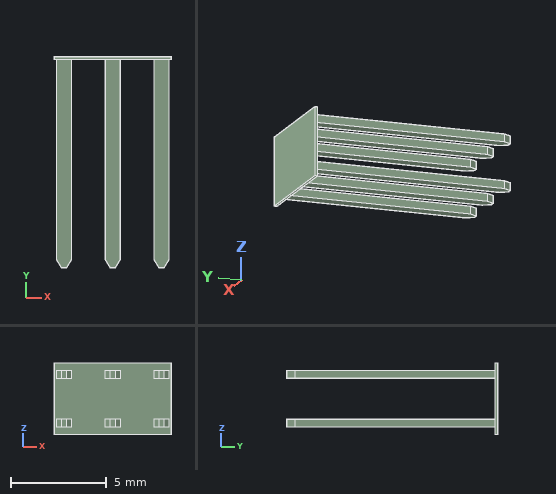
import cadquery as cq

plate_width = 6.12
plate_height = 3.76
plate_thickness = 0.15

overall_length = 11.02
pin_pitch = 2.55
pin_columns = 3
pin_rows = 2
pin_width = 0.8
pin_thickness = 0.43

tip_length = 0.43
tip_width = 0.29

pin_length = overall_length - plate_thickness


def make_plate():
    """Plate with its pin side on Y = 0."""
    return cq.Workplane("XY").box(
        plate_width, plate_thickness, plate_height, centered=(True, False, True)
    )


def make_pin():
    """Pin starting at Y = 0, tapered in X only at its free end."""
    shoulder_y = tip_length - pin_length
    outline = [
        (-pin_width / 2, 0),
        (-pin_width / 2, shoulder_y),
        (-tip_width / 2, -pin_length),
        (tip_width / 2, -pin_length),
        (pin_width / 2, shoulder_y),
        (pin_width / 2, 0),
    ]
    return cq.Workplane("XY").polyline(outline).close().extrude(pin_thickness / 2, both=True)


result = make_plate()
pin = make_pin()
for column in range(pin_columns):
    for row in range(pin_rows):
        pin_x = (column - (pin_columns - 1) / 2) * pin_pitch
        pin_z = (row - (pin_rows - 1) / 2) * pin_pitch
        result = result.union(pin.translate((pin_x, 0, pin_z)))